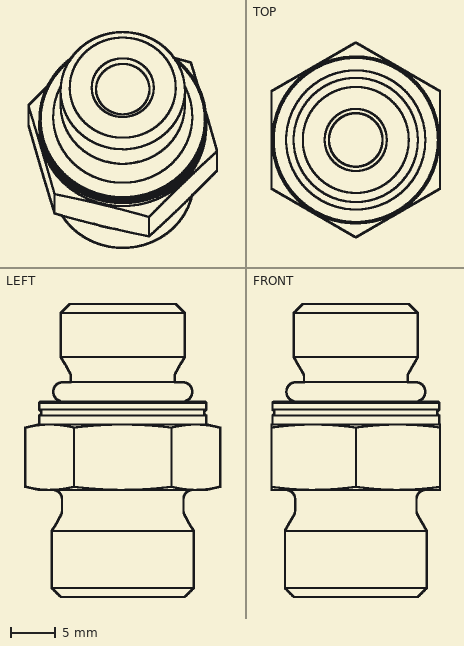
import cadquery as cq
import math

height = 33.0
bore_d = 6.0
bore_mouth_d = 7.0
thread_chamfer = 1.02

lower_thread_d = 16.0
lower_thread_top_z = 7.45
lower_neck_d = 13.7
lower_fillet_r = 1.02

hex_across_flats = 19.0
hex_bottom_z = 12.05
hex_top_z = 19.45
hex_chamfer_inner_d = 18.8
hex_chamfer_drop = 0.35

collar_d = 18.8
collar_top_z = 22.0
collar_chamfer = 0.15
collar_groove_z = 20.75
collar_groove_width = 0.65
collar_groove_depth = 0.23

upper_thread_d = 14.0
upper_thread_bottom_z = 27.0
upper_neck_d = 11.7
upper_fillet_r = 0.5

ring_outer_d = 15.68
ring_section_d = 2.18

runout_angle = math.radians(30)


def runout_length(thread_d, neck_d):
    """Axial length of the cone between a thread and its neck."""
    return (thread_d - neck_d) / 2 / math.tan(runout_angle)


def runout_tangents(neck_d, corner_z, fillet_r, toward_thread):
    """Tangent points of the cone-to-neck fillet: (on the cone, on the neck)."""
    neck_r = neck_d / 2
    length = fillet_r * math.tan(runout_angle / 2)
    on_cone = (
        neck_r + length * math.sin(runout_angle),
        corner_z + toward_thread * length * math.cos(runout_angle),
    )
    on_neck = (neck_r, corner_z - toward_thread * length)
    return on_cone, on_neck


def make_lower_end():
    thread_r = lower_thread_d / 2
    neck_r = lower_neck_d / 2
    corner_z = lower_thread_top_z + runout_length(lower_thread_d, lower_neck_d)
    on_cone, on_neck = runout_tangents(lower_neck_d, corner_z, lower_fillet_r, -1)
    return (
        cq.Workplane("XZ")
        .lineTo(thread_r - thread_chamfer, 0)
        .lineTo(thread_r, thread_chamfer)
        .lineTo(thread_r, lower_thread_top_z)
        .lineTo(*on_cone)
        .radiusArc(on_neck, lower_fillet_r)
        .lineTo(neck_r, hex_bottom_z - lower_fillet_r)
        .radiusArc((neck_r + lower_fillet_r, hex_bottom_z), lower_fillet_r)
        .lineTo(0, hex_bottom_z)
        .close()
        .revolve(360, (0, 0), (0, 1))
    )


def make_upper_end():
    thread_r = upper_thread_d / 2
    corner_z = upper_thread_bottom_z - runout_length(upper_thread_d, upper_neck_d)
    on_cone, on_neck = runout_tangents(upper_neck_d, corner_z, upper_fillet_r, 1)
    return (
        cq.Workplane("XZ")
        .moveTo(0, collar_top_z)
        .lineTo(upper_neck_d / 2, collar_top_z)
        .lineTo(*on_neck)
        .radiusArc(on_cone, upper_fillet_r)
        .lineTo(thread_r, upper_thread_bottom_z)
        .lineTo(thread_r, height - thread_chamfer)
        .lineTo(thread_r - thread_chamfer, height)
        .lineTo(0, height)
        .close()
        .revolve(360, (0, 0), (0, 1))
    )


def make_hexagon():
    """Hexagon with two flats facing X and its corners chamfered at both ends."""
    corner_d = hex_across_flats / math.cos(math.radians(30))
    prism = (
        cq.Workplane("XY", origin=(0, 0, hex_bottom_z))
        .polygon(6, corner_d)
        .extrude(hex_top_z - hex_bottom_z)
        .rotate((0, 0, 0), (0, 0, 1), 30)
    )
    envelope = (
        cq.Workplane("XZ")
        .polyline([
            (0, hex_bottom_z),
            (hex_chamfer_inner_d / 2, hex_bottom_z),
            (corner_d / 2, hex_bottom_z + hex_chamfer_drop),
            (corner_d / 2, hex_top_z - hex_chamfer_drop),
            (hex_chamfer_inner_d / 2, hex_top_z),
            (0, hex_top_z),
        ])
        .close()
        .revolve(360, (0, 0), (0, 1))
    )
    return prism.intersect(envelope)


def make_collar():
    """Round collar with a shallow rounded groove around its rim."""
    collar_r = collar_d / 2
    half_width = collar_groove_width / 2
    return (
        cq.Workplane("XZ")
        .moveTo(0, hex_top_z)
        .lineTo(collar_r, hex_top_z)
        .lineTo(collar_r, collar_groove_z - half_width)
        .threePointArc(
            (collar_r - collar_groove_depth, collar_groove_z),
            (collar_r, collar_groove_z + half_width),
        )
        .lineTo(collar_r, collar_top_z - collar_chamfer)
        .lineTo(collar_r - collar_chamfer, collar_top_z)
        .lineTo(0, collar_top_z)
        .close()
        .revolve(360, (0, 0), (0, 1))
    )


def make_bore():
    """Through bore with a 45 degree countersink at the upper mouth."""
    bore_r = bore_d / 2
    mouth_r = bore_mouth_d / 2
    return (
        cq.Workplane("XZ")
        .lineTo(bore_r, 0)
        .lineTo(bore_r, height - (mouth_r - bore_r))
        .lineTo(mouth_r, height)
        .lineTo(0, height)
        .close()
        .revolve(360, (0, 0), (0, 1))
    )


def make_sealing_ring():
    section_r = ring_section_d / 2
    return (
        cq.Workplane("XZ")
        .center(ring_outer_d / 2 - section_r, collar_top_z + section_r)
        .circle(section_r)
        .revolve(360, (section_r - ring_outer_d / 2, 0), (section_r - ring_outer_d / 2, 1))
    )


sealing_ring = make_sealing_ring()

fitting = (
    make_lower_end()
    .union(make_hexagon())
    .union(make_collar())
    .union(make_upper_end())
    .cut(make_bore())
    .cut(sealing_ring)
)

result = cq.Compound.makeCompound([fitting.val(), sealing_ring.val()])